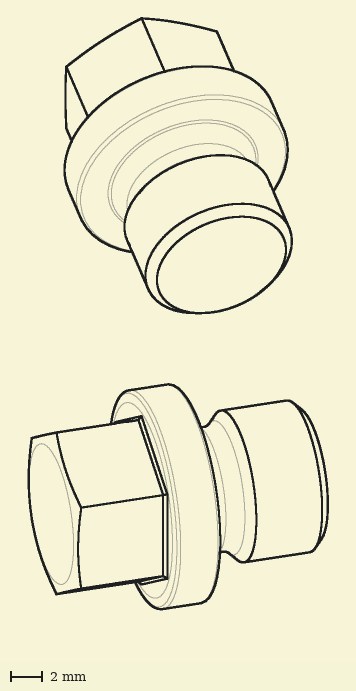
import cadquery as cq
import math


TOTAL_LENGTH = 17.0
COLLAR_START = 6.0
COLLAR_END = 9.0

HEX_ACROSS_FLATS = 10.0
HEX_FLARE = 0.2
HEAD_LAND_DIAMETER = 9.0
HEAD_CHAMFER_ANGLE = 15.0

COLLAR_DIAMETER = 14.0
COLLAR_FACE_DIAMETER = 12.51
COLLAR_BEVEL_ANGLE = 10.0
COLLAR_EDGE_RADIUS = 0.2

GROOVE_CENTER = 10.76
GROOVE_DIAMETER = 7.99
GROOVE_RADIUS = 1.0
COLLAR_SIDE_ANGLE = 30.0
THREAD_SIDE_ANGLE = 45.0
ROOT_FILLET_RADIUS = 0.2

THREAD_DIAMETER = 9.72
THREAD_CHAMFER = 0.58


def revolve_about_x(profile):
    """Turn a closed profile, drawn as (x, radius), about the X axis."""
    return profile.close().revolve(360, (0, 0, 0), (1, 0, 0))


def hexagon(workplane, across_flats):
    """Hexagon on a YZ workplane with its first corner on the Z axis."""
    corner_radius = across_flats / 2 / math.cos(math.radians(30))
    angles = [math.radians(90 + 60 * corner) for corner in range(6)]
    points = [(corner_radius * math.cos(a), corner_radius * math.sin(a)) for a in angles]
    return workplane.polyline(points).close()


def make_head():
    """Hexagon prism with a conical end chamfer and a flared foot at the collar."""
    flare_start = COLLAR_START - HEX_FLARE
    prism = hexagon(cq.Workplane("YZ"), HEX_ACROSS_FLATS).extrude(flare_start)

    land_radius = HEAD_LAND_DIAMETER / 2
    cone_radius = HEX_ACROSS_FLATS
    cone_depth = (cone_radius - land_radius) * math.tan(math.radians(HEAD_CHAMFER_ANGLE))
    trimmer = revolve_about_x(
        cq.Workplane("XY")
        .lineTo(0, land_radius)
        .lineTo(cone_depth, cone_radius)
        .lineTo(COLLAR_START, cone_radius)
        .lineTo(COLLAR_START, 0)
    )

    foot = hexagon(cq.Workplane("YZ", origin=(flare_start, 0, 0)), HEX_ACROSS_FLATS)
    foot = hexagon(foot.workplane(offset=HEX_FLARE), HEX_ACROSS_FLATS + 2 * HEX_FLARE)
    return prism.intersect(trimmer).union(foot.loft(ruled=True))


def make_collar():
    """Round collar with a shallow bevel on the head side and both rims rounded."""
    face_radius = COLLAR_FACE_DIAMETER / 2
    rim_radius = COLLAR_DIAMETER / 2
    bevel_depth = (rim_radius - face_radius) * math.tan(math.radians(COLLAR_BEVEL_ANGLE))
    collar = revolve_about_x(
        cq.Workplane("XY")
        .moveTo(COLLAR_START, 0)
        .lineTo(COLLAR_START, face_radius)
        .lineTo(COLLAR_START + bevel_depth, rim_radius)
        .lineTo(COLLAR_END, rim_radius)
        .lineTo(COLLAR_END, 0)
    )
    return collar.faces("%CYLINDER").edges("%CIRCLE").fillet(COLLAR_EDGE_RADIUS)


def make_shank():
    """Relief groove with sloping sides, followed by the chamfered thread cylinder."""
    thread_radius = THREAD_DIAMETER / 2
    bottom_radius = GROOVE_DIAMETER / 2
    collar_side = math.radians(COLLAR_SIDE_ANGLE)
    thread_side = math.radians(THREAD_SIDE_ANGLE)

    def groove_point(angle):
        """Point of the groove arc where its slope reaches the given angle."""
        return (
            GROOVE_CENTER + GROOVE_RADIUS * math.sin(angle),
            bottom_radius + GROOVE_RADIUS * (1 - math.cos(angle)),
        )

    arc_start = groove_point(-collar_side)
    arc_end = groove_point(thread_side)
    thread_start = arc_end[0] + (thread_radius - arc_end[1]) / math.tan(thread_side)

    root_end_x = COLLAR_END + ROOT_FILLET_RADIUS * (1 - math.sin(collar_side))
    root_end_radius = arc_start[1] + (arc_start[0] - root_end_x) * math.tan(collar_side)
    root_center_x = COLLAR_END + ROOT_FILLET_RADIUS
    root_center_radius = root_end_radius + ROOT_FILLET_RADIUS * math.cos(collar_side)
    half_turn = math.radians(90 - COLLAR_SIDE_ANGLE) / 2
    root_middle = (
        root_center_x - ROOT_FILLET_RADIUS * math.cos(half_turn),
        root_center_radius - ROOT_FILLET_RADIUS * math.sin(half_turn),
    )

    return revolve_about_x(
        cq.Workplane("XY")
        .moveTo(COLLAR_END, 0)
        .lineTo(COLLAR_END, root_center_radius)
        .threePointArc(root_middle, (root_end_x, root_end_radius))
        .lineTo(*arc_start)
        .threePointArc((GROOVE_CENTER, bottom_radius), arc_end)
        .lineTo(thread_start, thread_radius)
        .lineTo(TOTAL_LENGTH - THREAD_CHAMFER, thread_radius)
        .lineTo(TOTAL_LENGTH, thread_radius - THREAD_CHAMFER)
        .lineTo(TOTAL_LENGTH, 0)
    )


result = make_head().union(make_collar()).union(make_shank())